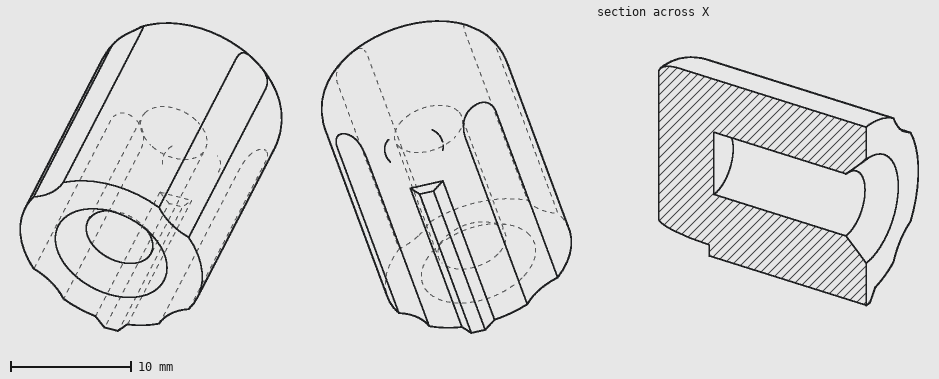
import cadquery as cq
import math

body_radius = 8.075
body_length = 20.5

crown_length = 2.0
crown_drop = 1.0

groove_count = 4
groove_first_angle = 45.0
groove_radius = 5.0
groove_floor = 7.5

bore_diameter = 5.9
bore_depth = 15.0
lead_in_depth = 2.0

rib_length = 15.5
rib_tip_height = 9.005
rib_tip_width = 1.2
rib_root_width = 2.82
rib_burial = 1.0
rib_root_height = math.sqrt(body_radius**2 - (rib_root_width / 2) ** 2)


def make_body():
    """Revolve the half profile of the knob about the Y axis."""
    crown_start = body_length - crown_length
    return (
        cq.Workplane("XY")
        .lineTo(body_radius, 0)
        .lineTo(body_radius, crown_start)
        .ellipseArc(
            crown_drop,
            crown_length,
            angle1=0,
            angle2=90,
            startAtCurrent=True,
        )
        .lineTo(0, body_length)
        .close()
        .revolve(360, (0, 0, 0), (0, 1, 0))
    )


def make_grooves():
    """Round cutters that run the full length of the body."""
    return (
        cq.Workplane("XZ")
        .polarArray(groove_floor + groove_radius, groove_first_angle, 360, groove_count)
        .circle(groove_radius)
        .extrude(-body_length)
    )


def make_relief():
    """Cutter below a quarter ellipse that rises from the rib root to the end face."""
    return (
        cq.Workplane("YZ")
        .moveTo(rib_length, -rib_root_height)
        .ellipseArc(
            body_length - rib_length,
            crown_drop,
            angle1=-90,
            angle2=0,
            startAtCurrent=True,
        )
        .lineTo(body_length, -body_radius)
        .lineTo(rib_length, -body_radius)
        .close()
        .extrude(body_radius, both=True)
    )


def make_rib():
    """Trapezoidal rib; its root is buried in the body so that the two fuse cleanly."""
    flank_run = (rib_root_width - rib_tip_width) / (rib_tip_height - rib_root_height)
    buried_height = rib_root_height - rib_burial
    buried_width = rib_tip_width + flank_run * (rib_tip_height - buried_height)
    return (
        cq.Workplane("XZ")
        .moveTo(-buried_width / 2, -buried_height)
        .lineTo(-rib_tip_width / 2, -rib_tip_height)
        .lineTo(rib_tip_width / 2, -rib_tip_height)
        .lineTo(buried_width / 2, -buried_height)
        .close()
        .extrude(-rib_length)
    )


def make_bore():
    """Blind bore and its conical lead-in, as one revolved cutter."""
    bore_radius = bore_diameter / 2
    return (
        cq.Workplane("XY")
        .lineTo(bore_radius + lead_in_depth, 0)
        .lineTo(bore_radius, lead_in_depth)
        .lineTo(bore_radius, bore_depth)
        .lineTo(0, bore_depth)
        .close()
        .revolve(360, (0, 0, 0), (0, 1, 0))
    )


knob = make_body().cut(make_grooves()).cut(make_relief())
result = knob.union(make_rib()).cut(make_bore())